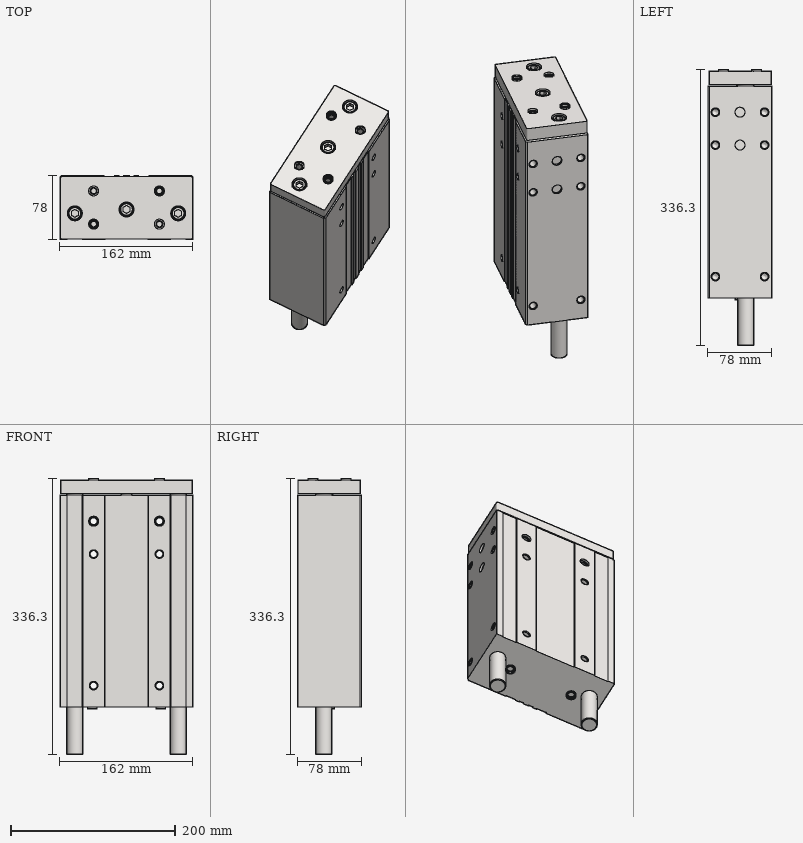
import cadquery as cq
import math

total_height = 336.3
rod_projection = 58.0
housing_height = 258.0
travel_gap = 2.0
sleeve_projection = 2.0
housing_top = rod_projection + housing_height
plate_bottom = housing_top + travel_gap
plate_top = total_height - sleeve_projection
plate_thickness = plate_top - plate_bottom

housing_width = 162.0
housing_depth = 78.0
front_corner_chamfer = 0.7
back_corner_chamfer = 2.0
groove_depth = 0.7
groove_flank_width = 1.0
back_recess_depth = 1.0
outer_rail_x = 72.3
inner_rail_outer_x = 54.0
inner_rail_inner_x = 26.0
front_y = -housing_depth / 2
back_y = housing_depth / 2

back_recess_half_width = 27.5
back_lands = ((-11.8, 5.5), (0.0, 7.5), (11.8, 5.5))

mount_x = 40.0
side_hole_y = 30.0
mount_pitch = 40.0
mount_top_z = housing_top - 31.5
mount_middle_z = mount_top_z - mount_pitch
mount_bottom_z = rod_projection + 26.2
tapped_hole_diameter = 8.5
hole_mouth_diameter = 10.5
hole_mouth_chamfer = (hole_mouth_diameter - tapped_hole_diameter) / 2
side_hole_depth = 16.8
drill_point_angle = 118.0

locating_diameter = 12.0
locating_depth = 2.7
sleeve_bore = 8.5
sleeve_mouth_chamfer = 1.0
rear_sleeve_x = 41.7

plate_width = 160.5
plate_depth = 76.0
plate_centre_y = -0.5
plate_corner_radius = 1.7
plate_hole_x = 40.0
plate_hole_y = 20.2
plate_hole_diameter = 6.7
plate_hole_mouth_diameter = 8.5
plate_hole_chamfer = (plate_hole_mouth_diameter - plate_hole_diameter) / 2

rod_diameter = 20.0
rod_x = 63.0
rod_y = -7.0
rod_end_chamfer = 1.0
piston_rod_diameter = 13.0
piston_rod_y = -2.5
piston_rod_depth = 33.5
screw_shank_diameter = 10.5
screw_head_diameter = 16.0
screw_head_height = 10.0
screw_head_chamfer = 1.0
screw_recess = 1.0
counterbore_diameter = 18.0
counterbore_depth = screw_head_height + screw_recess
socket_across_flats = 8.5
socket_depth = 5.0
screw_top = plate_top - screw_recess
screw_seat = plate_top - counterbore_depth

rod_centres = [(side * rod_x, rod_y) for side in (-1, 1)]
piston_centre = (0.0, piston_rod_y)
plate_holes = [(sx * plate_hole_x, sy * plate_hole_y) for sx in (-1, 1) for sy in (-1, 1)]
plate_sleeve_centres = [(-plate_hole_x, -plate_hole_y), (plate_hole_x, plate_hole_y)]
rear_sleeve_centres = [(side * rear_sleeve_x, 0.0) for side in (-1, 1)]


def vertical_cylinder(centre, diameter, bottom, top):
    """Cylinder along Z between two heights."""
    return cq.Workplane("XY", origin=(*centre, bottom)).circle(diameter / 2).extrude(top - bottom)


def box_between(x_min, x_max, y_min, y_max, z_min, z_max):
    """Box given by its limits along each axis."""
    size = (x_max - x_min, y_max - y_min, z_max - z_min)
    return cq.Workplane("XY", origin=(x_min, y_min, z_min)).box(*size, centered=False)


def turned_hole(outline, origin, direction):
    """Hole cutter: (radius, depth) outline revolved about `direction`, which points into the body."""
    tool = cq.Workplane("XZ").polyline(outline).close().revolve(360, (0, 0, 0), (0, 1, 0)).val()
    plane = cq.Plane(origin=origin, normal=direction)
    return cq.Workplane(tool.moved(cq.Location(plane)))


def housing_blank():
    """Extruded block with rails on the front and sensor slots on the back."""
    block = (
        cq.Workplane("XY", origin=(0, 0, rod_projection))
        .rect(housing_width, housing_depth)
        .extrude(housing_height)
        .edges("|Z and <Y")
        .chamfer(front_corner_chamfer)
        .edges("|Z and >Y")
        .chamfer(back_corner_chamfer)
    )
    floor_y = front_y + groove_depth
    centre_groove = [
        (-inner_rail_inner_x - groove_flank_width, front_y),
        (-inner_rail_inner_x, floor_y),
        (inner_rail_inner_x, floor_y),
        (inner_rail_inner_x + groove_flank_width, front_y),
    ]
    side_groove = [
        (inner_rail_outer_x - groove_flank_width, front_y),
        (inner_rail_outer_x, floor_y),
        (outer_rail_x, floor_y),
        (outer_rail_x, front_y),
    ]
    mirrored_groove = [(-x, y) for x, y in side_groove]
    for outline in (centre_groove, side_groove, mirrored_groove):
        groove = cq.Workplane("XY", origin=(0, 0, rod_projection)).polyline(outline).close()
        block = block.cut(groove.extrude(housing_height))

    back_floor_y = back_y - back_recess_depth
    block = block.cut(
        box_between(
            -back_recess_half_width, back_recess_half_width,
            back_floor_y, back_y, rod_projection, housing_top,
        )
    )
    for centre_x, width in back_lands:
        block = block.union(
            box_between(
                centre_x - width / 2, centre_x + width / 2,
                back_floor_y, back_y, rod_projection, housing_top,
            )
        )
    return block


def front_hole(x, z, mouth_y):
    """Through hole along Y whose chamfered mouth lies at `mouth_y`."""
    hole_radius = tapped_hole_diameter / 2
    outline = [
        (0, 0),
        (hole_mouth_diameter / 2, 0),
        (hole_radius, hole_mouth_chamfer),
        (hole_radius, housing_depth),
        (0, housing_depth),
    ]
    return turned_hole(outline, (x, mouth_y, z), (0, 1, 0))


def front_locating_recess(x, z):
    """Flat-bottomed recess for a locating sleeve in the front face."""
    recess = cq.Workplane("XZ", origin=(x, front_y + locating_depth, z))
    return recess.circle(locating_diameter / 2).extrude(locating_depth)


def side_hole(y, z):
    """Blind hole from the -X side with a chamfered mouth and a drill point."""
    hole_radius = tapped_hole_diameter / 2
    point_depth = hole_radius / math.tan(math.radians(drill_point_angle / 2))
    outline = [
        (0, 0),
        (hole_mouth_diameter / 2, 0),
        (hole_radius, hole_mouth_chamfer),
        (hole_radius, side_hole_depth),
        (0, side_hole_depth + point_depth),
    ]
    return turned_hole(outline, (-housing_width / 2, y, z), (1, 0, 0))


def side_locating_recess(z):
    """Shallow flat-bottomed recess in the -X side."""
    recess = cq.Workplane("YZ", origin=(-housing_width / 2, 0, z))
    return recess.circle(locating_diameter / 2).extrude(locating_depth)


def make_housing():
    body = housing_blank()
    mouth_levels = {
        mount_top_z: front_y + locating_depth,
        mount_middle_z: front_y,
        mount_bottom_z: front_y,
    }
    for z, mouth_y in mouth_levels.items():
        for side in (-1, 1):
            body = body.cut(front_hole(side * mount_x, z, mouth_y))
            body = body.cut(side_hole(side * side_hole_y, z))
    for side in (-1, 1):
        body = body.cut(front_locating_recess(side * mount_x, mount_top_z))
    for z in (mount_top_z, mount_middle_z):
        body = body.cut(side_locating_recess(z))

    for centre in rod_centres:
        body = body.cut(vertical_cylinder(centre, rod_diameter, rod_projection, housing_top))
    piston_bore_bottom = housing_top - piston_rod_depth
    body = body.cut(
        vertical_cylinder(piston_centre, piston_rod_diameter, piston_bore_bottom, housing_top)
    )
    for centre in rear_sleeve_centres:
        recess_top = rod_projection + locating_depth
        body = body.cut(vertical_cylinder(centre, locating_diameter, rod_projection, recess_top))
    return body


def screw_end(centre):
    """Shank through the plate and a cylindrical head with a hexagon socket."""
    shank = vertical_cylinder(centre, screw_shank_diameter, plate_bottom, screw_seat)
    head = vertical_cylinder(centre, screw_head_diameter, screw_seat, screw_top)
    head = head.faces(">Z").edges().chamfer(screw_head_chamfer)
    across_corners = socket_across_flats / math.cos(math.pi / 6)
    socket = (
        cq.Workplane("XY", origin=(*centre, screw_top))
        .transformed(rotate=(0, 0, 30))
        .polygon(6, across_corners)
        .extrude(-socket_depth)
    )
    return shank.union(head).cut(socket)


def plate_fixing_hole(centre):
    """Sleeve recess above a chamfered through hole."""
    hole_radius = plate_hole_diameter / 2
    outline = [
        (0, 0),
        (locating_diameter / 2, 0),
        (locating_diameter / 2, locating_depth),
        (plate_hole_mouth_diameter / 2, locating_depth),
        (hole_radius, locating_depth + plate_hole_chamfer),
        (hole_radius, plate_thickness),
        (0, plate_thickness),
    ]
    return turned_hole(outline, (*centre, plate_top), (0, 0, -1))


def make_drive_plate():
    plate = (
        cq.Workplane("XY", origin=(0, plate_centre_y, plate_bottom))
        .rect(plate_width, plate_depth)
        .extrude(plate_thickness)
        .edges("|Z")
        .fillet(plate_corner_radius)
    )
    for centre in plate_holes:
        plate = plate.cut(plate_fixing_hole(centre))
    for centre in (*rod_centres, piston_centre):
        plate = plate.cut(vertical_cylinder(centre, counterbore_diameter, screw_seat, plate_top))
    for centre in rod_centres:
        plate = plate.cut(vertical_cylinder(centre, screw_shank_diameter, plate_bottom, screw_seat))
    piston_rod_bottom = housing_top - piston_rod_depth
    piston_rod = vertical_cylinder(piston_centre, piston_rod_diameter, piston_rod_bottom, plate_bottom)
    return plate.union(screw_end(piston_centre)).union(piston_rod)


def make_guide_rod(centre):
    rod = vertical_cylinder(centre, rod_diameter, 0, plate_bottom)
    rod = rod.faces("<Z").edges().chamfer(rod_end_chamfer)
    return rod.union(screw_end(centre))


def make_sleeve(centre, bottom):
    sleeve_length = locating_depth + sleeve_projection
    sleeve = vertical_cylinder(centre, locating_diameter, bottom, bottom + sleeve_length)
    bore = vertical_cylinder(centre, sleeve_bore, bottom, bottom + sleeve_length)
    bore_rims = cq.selectors.RadiusNthSelector(0)
    return sleeve.cut(bore).edges("%CIRCLE").edges(bore_rims).chamfer(sleeve_mouth_chamfer)


housing = make_housing()
drive_plate = make_drive_plate()
guide_rods = [make_guide_rod(centre) for centre in rod_centres]
plate_sleeves = [make_sleeve(centre, plate_top - locating_depth) for centre in plate_sleeve_centres]
rear_sleeves = [make_sleeve(centre, rod_projection - sleeve_projection) for centre in rear_sleeve_centres]

result = cq.Compound.makeCompound(
    [
        housing.val(),
        drive_plate.val(),
        *[rod.val() for rod in guide_rods],
        *[sleeve.val() for sleeve in plate_sleeves + rear_sleeves],
    ]
)